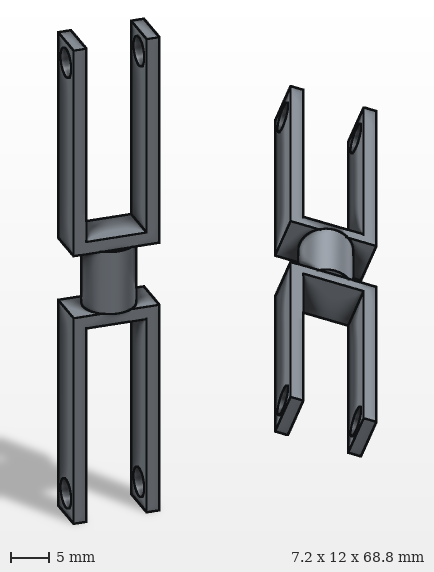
import cadquery as cq

total_length = 68.8
fork_depth = 12.0
fork_width = 6.0
hub_diameter = 7.2
hub_length = 9.0

arm_thickness = 1.8
bridge_thickness = 1.8
hole_diameter = 4.05
hole_end_distance = 3.1

fork_length = (total_length - hub_length) / 2
slot_depth = fork_length - bridge_thickness
slot_width = fork_depth - 2 * arm_thickness


def make_fork():
    """Upward-opening fork whose bridge sits on the top end of the hub."""
    base_z = hub_length / 2
    body = (
        cq.Workplane("XY", origin=(0, 0, base_z))
        .rect(fork_width, fork_depth)
        .extrude(fork_length)
    )
    slot = (
        cq.Workplane("XY", origin=(0, 0, base_z + bridge_thickness))
        .rect(fork_width, slot_width)
        .extrude(slot_depth)
    )
    pin_hole = (
        cq.Workplane("XZ", origin=(0, 0, total_length / 2 - hole_end_distance))
        .circle(hole_diameter / 2)
        .extrude(fork_depth / 2, both=True)
    )
    return body.cut(slot).cut(pin_hole)


hub = cq.Workplane("XY").circle(hub_diameter / 2).extrude(hub_length / 2, both=True)
upper_fork = make_fork()
lower_fork = upper_fork.mirror("XY")

result = hub.union(upper_fork).union(lower_fork)